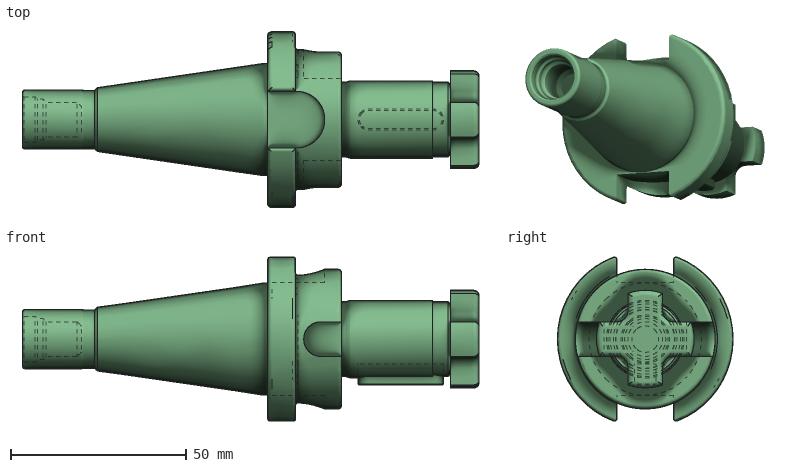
import cadquery as cq
import math


OVERALL_LENGTH = 130.4
NECK_START = 16.8
NECK_STEP = 0.7
NECK_END = 20.6
TAPER_START = 21.4
TAPER_END = 68.9
FLANGE_START = 70.0
FLANGE_WIDTH = 8.0
COLLAR_END = 91.1
RELIEF_END = 92.3
JOURNAL_START = 93.6
JOURNAL_END = 117.1
HEAD_LENGTH = 8.2
FLANGE_END = FLANGE_START + FLANGE_WIDTH
HEAD_START = OVERALL_LENGTH - HEAD_LENGTH

SHANK_RADIUS = 8.5
SHANK_FILLET = 0.8
NECK_RADIUS = 8.3
TAPER_LARGE_RADIUS = 16.0
TAPER_RATIO = 7 / 24
TAPER_SMALL_RADIUS = TAPER_LARGE_RADIUS - (TAPER_END - TAPER_START) * TAPER_RATIO / 2

BORE_MOUTH_RADIUS = 6.9
COUNTERBORE_RADIUS = 6.5
COUNTERBORE_DEPTH = 3.7
RECESS_RADIUS = 5.9
RECESS_DEPTH = 5.9
THREAD_RADIUS = 5.0
THREAD_DEPTH = 15.6
BORE_BOTTOM_RADIUS = 3.8

FLANGE_DIAMETER = 50.2
FLANGE_RADIUS = FLANGE_DIAMETER / 2
FLANGE_FRONT_FILLET = 1.2
FLANGE_BACK_FILLET = 0.9
SLOT_WIDTH = 16.2
SLOT_FLOOR_HEIGHT = 16.2
SLOT_ROUND_X = 78.2
SLOT_EDGE_FILLET = 0.8

COLLAR_RADIUS = 20.0
COLLAR_FILLET = 1.0
COLLAR_ROOT_FILLET = 0.7
DRIVE_SLOT_WIDTH = 9.9
DRIVE_SLOT_START = 80.3
DRIVE_SLOT_FLOOR = 11.7

JOURNAL_RADIUS = 11.1
RELIEF_RADIUS = 10.7
ARBOR_END_CHAMFER = 0.7

KEY_START = 95.8
KEY_LENGTH = 24.4
KEY_WIDTH = 6.0
KEY_TOP = -7.2
KEY_BOTTOM = -13.2
KEY_CHAMFER = 0.4

HEAD_RADIUS = 14.0
HEAD_FILLET = 1.5
LOBE_WIDTH = 9.9
NOTCH_RADIUS = 3.1


def cylinder(start, end, radius):
    """Cylinder along the X axis between two stations."""
    return cq.Workplane("YZ", origin=(start, 0, 0)).circle(radius).extrude(end - start)


def turned(points):
    """Solid of revolution about X from an (x, radius) outline closed along the axis."""
    closed = [(points[0][0], 0), *points, (points[-1][0], 0)]
    return cq.Workplane("XY").polyline(closed).close().revolve(360, (0, 0, 0), (1, 0, 0))


def shank_and_taper():
    shank = cylinder(0, NECK_START, SHANK_RADIUS).edges("<X").fillet(SHANK_FILLET)
    neck_and_taper = turned([
        (NECK_START, SHANK_RADIUS),
        (NECK_START + NECK_STEP, NECK_RADIUS),
        (NECK_END, NECK_RADIUS),
        (TAPER_START, TAPER_SMALL_RADIUS),
        (TAPER_END, TAPER_LARGE_RADIUS),
        (FLANGE_START, TAPER_LARGE_RADIUS),
    ])
    return shank.union(neck_and_taper)


def drawbar_bore():
    """Blind stepped bore, each step narrowing over a 45 degree cone."""
    return turned([
        (0, BORE_MOUTH_RADIUS),
        (BORE_MOUTH_RADIUS - COUNTERBORE_RADIUS, COUNTERBORE_RADIUS),
        (COUNTERBORE_DEPTH, COUNTERBORE_RADIUS),
        (COUNTERBORE_DEPTH + COUNTERBORE_RADIUS - RECESS_RADIUS, RECESS_RADIUS),
        (RECESS_DEPTH, RECESS_RADIUS),
        (RECESS_DEPTH + RECESS_RADIUS - THREAD_RADIUS, THREAD_RADIUS),
        (THREAD_DEPTH, THREAD_RADIUS),
        (THREAD_DEPTH + THREAD_RADIUS - BORE_BOTTOM_RADIUS, BORE_BOTTOM_RADIUS),
    ])


def flange():
    """Flange with a rounded rim, slotted through, the outer slot edges rounded as well."""
    slotted = cylinder(FLANGE_START, FLANGE_END, FLANGE_RADIUS)
    for turn in (0, 180):
        slotted = slotted.cut(spindle_key_slot().rotate((0, 0, 0), (1, 0, 0), turn))
    outer_edge_z = math.sqrt(FLANGE_RADIUS**2 - (SLOT_WIDTH / 2) ** 2)
    middle_x = FLANGE_START + FLANGE_WIDTH / 2
    for y in (-SLOT_WIDTH / 2, SLOT_WIDTH / 2):
        for z in (-outer_edge_z, outer_edge_z):
            outer_edge = cq.NearestToPointSelector((middle_x, y, z))
            slotted = slotted.edges(outer_edge).fillet(SLOT_EDGE_FILLET)
    rounded_rim = (
        cylinder(FLANGE_START, FLANGE_END, FLANGE_RADIUS)
        .edges("<X")
        .fillet(FLANGE_FRONT_FILLET)
        .edges(">X")
        .fillet(FLANGE_BACK_FILLET)
    )
    return slotted.intersect(rounded_rim)


def collar():
    body = cylinder(FLANGE_END, COLLAR_END, COLLAR_RADIUS).edges(">X").fillet(COLLAR_FILLET)
    center_x = FLANGE_END + COLLAR_ROOT_FILLET
    center_radius = COLLAR_RADIUS + COLLAR_ROOT_FILLET
    reach = COLLAR_ROOT_FILLET * math.sqrt(0.5)
    root = (
        cq.Workplane("XY")
        .moveTo(FLANGE_END, 0)
        .lineTo(FLANGE_END, center_radius)
        .threePointArc((center_x - reach, center_radius - reach), (center_x, COLLAR_RADIUS))
        .lineTo(center_x, 0)
        .close()
        .revolve(360, (0, 0, 0), (1, 0, 0))
    )
    return body.union(root)


def arbor():
    return turned([
        (COLLAR_END, RELIEF_RADIUS),
        (RELIEF_END, RELIEF_RADIUS),
        (JOURNAL_START, JOURNAL_RADIUS),
        (JOURNAL_END, JOURNAL_RADIUS),
        (JOURNAL_END, RELIEF_RADIUS),
        (HEAD_START - ARBOR_END_CHAMFER, RELIEF_RADIUS),
        (HEAD_START, RELIEF_RADIUS - ARBOR_END_CHAMFER),
    ])


def spindle_key_slot():
    """Slot above the flat floor on the +Z side, open at the flange face, with a round end."""
    depth = FLANGE_RADIUS - SLOT_FLOOR_HEIGHT
    floor = cq.Workplane("XY", origin=(0, 0, SLOT_FLOOR_HEIGHT))
    run = SLOT_ROUND_X - FLANGE_START
    straight = floor.center(SLOT_ROUND_X - run / 2, 0).rect(run, SLOT_WIDTH).extrude(depth)
    round_end = floor.center(SLOT_ROUND_X, 0).circle(SLOT_WIDTH / 2).extrude(depth)
    return straight.union(round_end)


def driving_slot():
    """Slot on the -Y side of the collar, open at the collar end, with a round start."""
    depth = COLLAR_RADIUS - DRIVE_SLOT_FLOOR
    floor = cq.Workplane("XZ", origin=(0, -DRIVE_SLOT_FLOOR, 0))
    round_x = DRIVE_SLOT_START + DRIVE_SLOT_WIDTH / 2
    run = COLLAR_END - round_x
    straight = floor.center(round_x + run / 2, 0).rect(run, DRIVE_SLOT_WIDTH).extrude(depth)
    round_start = floor.center(round_x, 0).circle(DRIVE_SLOT_WIDTH / 2).extrude(depth)
    return straight.union(round_start)


def make_key():
    """Round-ended parallel key with chamfered outer edges."""
    return (
        cq.Workplane("XY", origin=(KEY_START + KEY_LENGTH / 2, 0, KEY_BOTTOM))
        .slot2D(KEY_LENGTH, KEY_WIDTH)
        .extrude(KEY_TOP - KEY_BOTTOM)
        .faces("<Z")
        .edges()
        .chamfer(KEY_CHAMFER)
    )


def make_holder(key):
    holder = shank_and_taper().union(flange()).union(collar()).union(arbor())
    holder = holder.cut(drawbar_bore())
    for turn in (0, 180):
        holder = holder.cut(spindle_key_slot().rotate((0, 0, 0), (1, 0, 0), turn))
        holder = holder.cut(driving_slot().rotate((0, 0, 0), (1, 0, 0), turn))
    return holder.cut(key)


def make_screw_head():
    """Head with four lobes on the Y and Z axes, parted by round-bottomed notches."""
    head = cylinder(HEAD_START, OVERALL_LENGTH, HEAD_RADIUS)
    lobe_half = LOBE_WIDTH / 2
    tangent = lobe_half + NOTCH_RADIUS
    arc_middle = tangent - NOTCH_RADIUS * math.sqrt(0.5)
    notch = (
        cq.Workplane("YZ", origin=(HEAD_START, 0, 0))
        .moveTo(lobe_half, HEAD_RADIUS)
        .lineTo(lobe_half, tangent)
        .threePointArc((arc_middle, arc_middle), (tangent, lobe_half))
        .lineTo(HEAD_RADIUS, lobe_half)
        .lineTo(HEAD_RADIUS, HEAD_RADIUS)
        .close()
        .extrude(HEAD_LENGTH)
    )
    for quarter in range(4):
        head = head.cut(notch.rotate((0, 0, 0), (1, 0, 0), 90 * quarter))
    return head.faces(">X").edges().fillet(HEAD_FILLET)


key = make_key()
holder = make_holder(key)
screw_head = make_screw_head()

result = cq.Compound.makeCompound([holder.val(), key.val(), screw_head.val()])